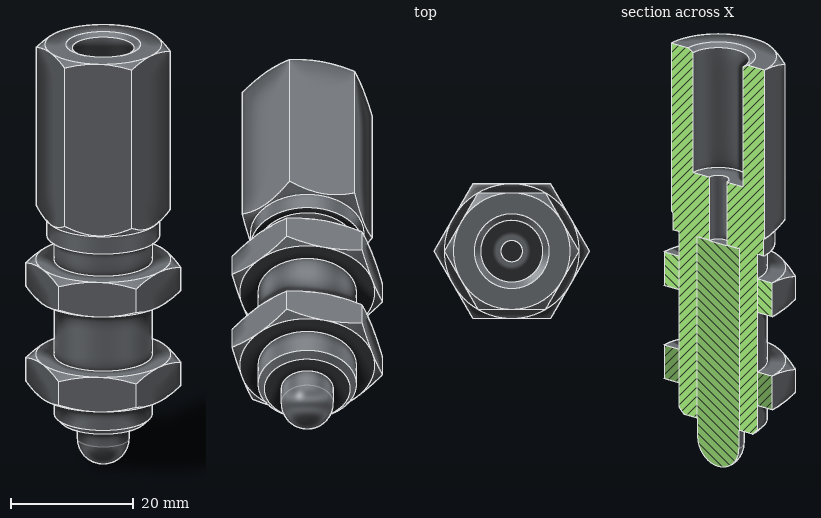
import cadquery as cq
import math

TOTAL_HEIGHT = 72.5
HEX_HEIGHT = 30.0
COLLAR_HEIGHT = 3.0
BARREL_BOTTOM = 7.5
HEX_BOTTOM = TOTAL_HEIGHT - HEX_HEIGHT
COLLAR_BOTTOM = HEX_BOTTOM - COLLAR_HEIGHT

HEX_FLATS = 19.0
COLLAR_DIAMETER = 18.5
BARREL_DIAMETER = 16.0
BARREL_CHAMFER = 1.0

BORE_DIAMETER = 10.1
BORE_DEPTH = 21.75
BORE_FLOOR = TOTAL_HEIGHT - BORE_DEPTH
MOUTH_DIAMETER = 12.2
MOUTH_DEPTH = 0.6
VENT_DIAMETER = 3.5

PLUNGER_DIAMETER = 8.5
PLUNGER_RADIUS = PLUNGER_DIAMETER / 2
PLUNGER_TOP = COLLAR_BOTTOM

NUT_FLATS = 22.0
NUT_HEIGHT = 6.0
UPPER_NUT_BOTTOM = 29.2
LOWER_NUT_BOTTOM = 12.75

SHALLOW_CHAMFER_ANGLE = 30
STEEP_CHAMFER_ANGLE = 45

HEX_SIDES = 6


def cylinder(diameter, bottom, top):
    """Upright cylinder on the Z axis between two heights."""
    return cq.Workplane("XY").workplane(offset=bottom).circle(diameter / 2).extrude(top - bottom)


def hex_prism(flats, bottom, top, lower_land_diameter, lower_angle):
    """Hexagonal prism with corners on the X axis and conical chamfers on both ends.

    The upper cone starts at the circle inscribed in the hexagon, the lower one
    at the given land diameter.
    """
    corner_radius = flats / 2 / math.cos(math.pi / HEX_SIDES)
    upper_land_radius = flats / 2
    lower_land_radius = lower_land_diameter / 2
    upper_drop = (corner_radius - upper_land_radius) * math.tan(math.radians(SHALLOW_CHAMFER_ANGLE))
    lower_rise = (corner_radius - lower_land_radius) * math.tan(math.radians(lower_angle))
    prism = (
        cq.Workplane("XY")
        .workplane(offset=bottom)
        .polygon(HEX_SIDES, 2 * corner_radius)
        .extrude(top - bottom)
    )
    turned_envelope = (
        cq.Workplane("XZ")
        .moveTo(0, bottom)
        .lineTo(lower_land_radius, bottom)
        .lineTo(corner_radius, bottom + lower_rise)
        .lineTo(corner_radius, top - upper_drop)
        .lineTo(upper_land_radius, top)
        .lineTo(0, top)
        .close()
        .revolve(360, (0, 0, 0), (0, 1, 0))
    )
    return prism.intersect(turned_envelope)


def make_housing():
    """Hexagonal head, collar and barrel with the head bore, vent and plunger hole."""
    head = hex_prism(HEX_FLATS, HEX_BOTTOM, TOTAL_HEIGHT, COLLAR_DIAMETER, STEEP_CHAMFER_ANGLE)
    collar = cylinder(COLLAR_DIAMETER, COLLAR_BOTTOM, HEX_BOTTOM)
    barrel = cylinder(BARREL_DIAMETER, BARREL_BOTTOM, COLLAR_BOTTOM).faces("<Z").chamfer(BARREL_CHAMFER)
    bore = cylinder(BORE_DIAMETER, BORE_FLOOR, TOTAL_HEIGHT)
    mouth = cq.Workplane(
        cq.Solid.makeCone(
            BORE_DIAMETER / 2,
            MOUTH_DIAMETER / 2,
            MOUTH_DEPTH,
            pnt=cq.Vector(0, 0, TOTAL_HEIGHT - MOUTH_DEPTH),
        )
    )
    vent = cylinder(VENT_DIAMETER, PLUNGER_TOP, BORE_FLOOR)
    plunger_hole = cylinder(PLUNGER_DIAMETER, BARREL_BOTTOM, PLUNGER_TOP)
    outside = head.union(collar).union(barrel)
    return outside.cut(bore).cut(mouth).cut(vent).cut(plunger_hole)


def make_plunger():
    """Straight pin whose lower end is a hemisphere touching Z = 0."""
    shank = cylinder(PLUNGER_DIAMETER, PLUNGER_RADIUS, PLUNGER_TOP)
    tip = cq.Workplane("XY").sphere(PLUNGER_RADIUS).translate((0, 0, PLUNGER_RADIUS))
    return shank.union(tip)


def make_nut(bottom):
    """Hexagonal lock nut fitted around the barrel."""
    top = bottom + NUT_HEIGHT
    blank = hex_prism(NUT_FLATS, bottom, top, NUT_FLATS, SHALLOW_CHAMFER_ANGLE)
    return blank.cut(cylinder(BARREL_DIAMETER, bottom, top))


housing = make_housing()
plunger = make_plunger()
nuts = [make_nut(bottom) for bottom in (LOWER_NUT_BOTTOM, UPPER_NUT_BOTTOM)]

result = cq.Compound.makeCompound([housing.val(), plunger.val(), *[nut.val() for nut in nuts]])